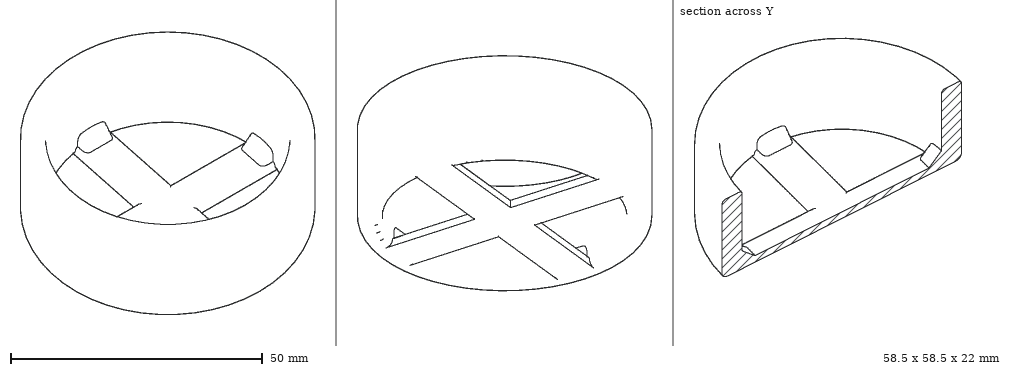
import cadquery as cq

outer_diameter = 58.5
inner_diameter = 48.5
height = 22.0
rim_fillet = 1.0
base_fillet = 1.5

spoke_width = 8.6
spoke_thickness = 2.0
spoke_fillet = 0.7

stop_width = spoke_width - 2 * spoke_fillet
stop_toe_radius = 21.2
stop_slope = 1.0
stop_fillet = 1.0

inner_radius = inner_diameter / 2
embed_radius = (outer_diameter + inner_diameter) / 4


def make_ring():
    """Plain ring with rounded upper and lower edges."""
    ring = cq.Workplane("XY").circle(outer_diameter / 2).circle(inner_radius).extrude(height)
    return ring.faces(">Z").edges().fillet(rim_fillet).faces("<Z").edges().fillet(base_fillet)


def make_cross():
    """Two crossed spokes, rounded along their upper side edges, ending inside the ring wall."""
    length = 2 * embed_radius
    cross = (
        cq.Workplane("XY")
        .rect(length, spoke_width)
        .extrude(spoke_thickness)
        .union(cq.Workplane("XY").rect(spoke_width, length).extrude(spoke_thickness))
    )
    return cross.faces(">Z").edges().fillet(spoke_fillet)


def make_stop():
    """Wedge on the +X spoke, rising from its toe towards the wall."""
    rise = (embed_radius - stop_toe_radius) * stop_slope
    slope_direction = cq.Vector(1, 0, stop_slope)
    wedge = (
        cq.Workplane("XZ")
        .moveTo(stop_toe_radius, spoke_thickness)
        .lineTo(embed_radius, spoke_thickness)
        .lineTo(embed_radius, spoke_thickness + rise)
        .close()
        .extrude(stop_width / 2, both=True)
    )
    return wedge.edges(cq.selectors.ParallelDirSelector(slope_direction)).fillet(stop_fillet)


result = make_ring().union(make_cross())
stop = make_stop()
for quarter in range(4):
    result = result.union(stop.rotate((0, 0, 0), (0, 0, 1), 90 * quarter))